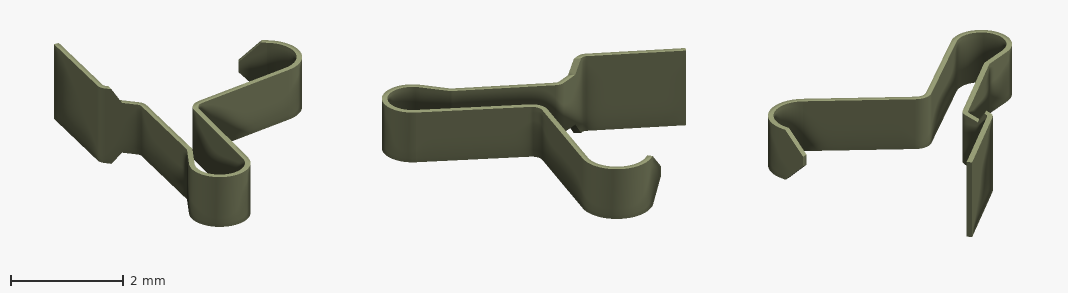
import cadquery as cq
import math

thickness = 0.1
strip_width = 1.0
pad_width = 1.5

small_radius = 0.15
elbow_radius = 0.25
loop_radius = 0.5
hook_radius = 0.6

ramp_angle = 50.0
dip_angle = -22.0
back_angle = 179.1
arm_angle = 104.0
tip_angle = 242.0

pad_length = 1.795
ramp_length = 0.607
base_length = 1.855
dip_length = 0.54
back_length = 2.06
arm_length = 2.012
tip_length = 0.51

shoulder_start_y = 0.165
shoulder_end_y = 0.315

tip_end_width = 0.2
tip_taper_length = 0.41

stretches = [
    (pad_length, 0.0, None),
    (ramp_length, ramp_angle, small_radius),
    (base_length, 0.0, small_radius),
    (dip_length, dip_angle, small_radius),
    (back_length, back_angle, loop_radius),
    (arm_length, arm_angle, elbow_radius),
    (tip_length, tip_angle, hook_radius),
]


def step(point, angle, distance):
    """Point reached by moving a distance along an angle in degrees."""
    radians = math.radians(angle)
    return (point[0] + distance * math.cos(radians), point[1] + distance * math.sin(radians))


def trace_centreline():
    """List the centreline pieces, each as its (point, heading) stations: 2 if straight, 3 if bent."""
    point = (0.0, thickness / 2)
    heading = stretches[0][1]
    pieces = []
    for length, direction, radius in stretches:
        if radius is not None:
            side = math.copysign(90.0, direction - heading)
            centre = step(point, heading + side, radius)
            middle = (heading + direction) / 2
            bend = [(point, heading)]
            for angle in (middle, direction):
                bend.append((step(centre, angle - side, radius), angle))
            pieces.append(bend)
            point = bend[-1][0]
            heading = direction
        end = step(point, heading, length)
        pieces.append([(point, heading), (end, heading)])
        point = end
    return pieces


def draw_face(sketch, pieces, side):
    """Continue the sketch along one face of the strip; side is +90 for the left face, -90 for the right."""
    for piece in pieces:
        points = [step(point, heading + side, thickness / 2) for point, heading in piece]
        if len(points) == 2:
            sketch = sketch.lineTo(*points[1])
        else:
            sketch = sketch.threePointArc(points[1], points[2])
    return sketch


def make_ribbon(pieces, width):
    """Bent strip of constant width, centred on Z = 0."""
    backward = [piece[::-1] for piece in reversed(pieces)]
    end_point, end_heading = pieces[-1][-1]
    sketch = draw_face(cq.Workplane("XY").moveTo(0, 0), pieces, -90)
    sketch = sketch.lineTo(*step(end_point, end_heading + 90, thickness / 2))
    sketch = draw_face(sketch, backward, 90)
    return sketch.close().extrude(width / 2, both=True)


def make_shouldered_pad(pieces):
    """Wide pad and lower ramp, its sloped shoulders cut straight along X."""
    pad, ramp_bend, ramp = pieces[:3]
    wide_ribbon = make_ribbon([pad, ramp_bend, ramp], pad_width)
    outline = [
        (0, -pad_width / 2),
        (shoulder_start_y, -pad_width / 2),
        (shoulder_end_y, -strip_width / 2),
        (shoulder_end_y, strip_width / 2),
        (shoulder_start_y, pad_width / 2),
        (0, pad_width / 2),
    ]
    reach = pad_length + ramp_length + small_radius
    return wide_ribbon.intersect(cq.Workplane("YZ").polyline(outline).close().extrude(reach))


def make_tip_corner(pieces, side):
    """Wedge that removes one corner of the hook's pointed end; side is +1 above or -1 below."""
    end_point, heading = pieces[-1][-1]
    radians = math.radians(heading)
    plane = cq.Plane(
        origin=(end_point[0], end_point[1], 0),
        xDir=(math.cos(radians), math.sin(radians), 0),
        normal=(math.sin(radians), -math.cos(radians), 0),
    )
    corner = [
        (-tip_taper_length, side * strip_width / 2),
        (0, side * tip_end_width / 2),
        (0, side * strip_width / 2),
    ]
    return cq.Workplane(plane).polyline(corner).close().extrude(thickness, both=True)


centreline = trace_centreline()
result = make_ribbon(centreline, strip_width).union(make_shouldered_pad(centreline))
for corner_side in (1, -1):
    result = result.cut(make_tip_corner(centreline, corner_side))